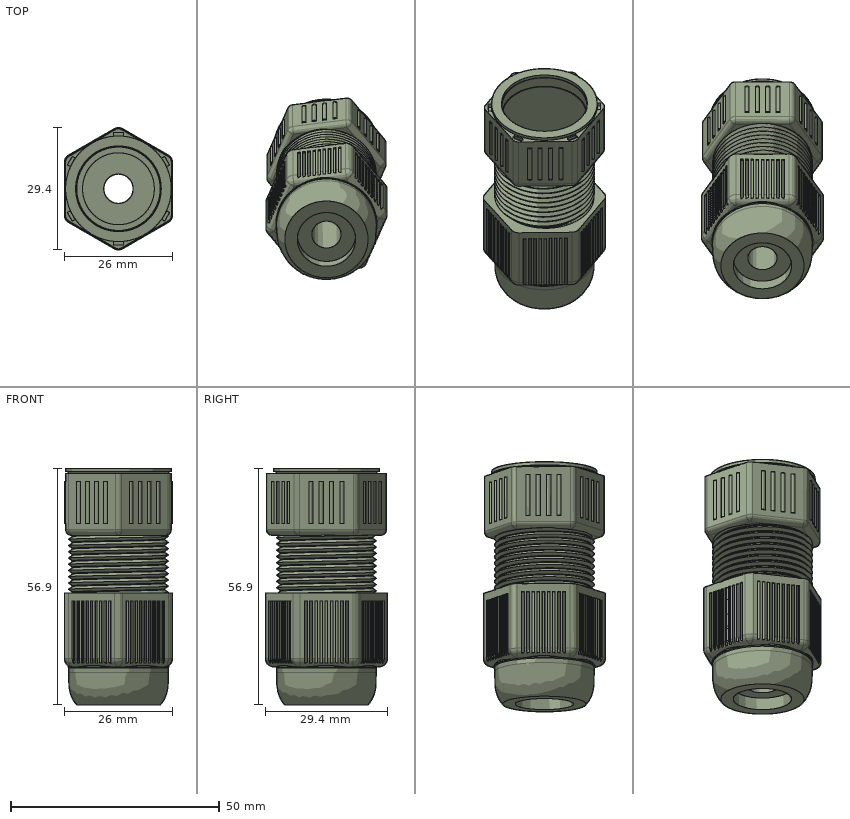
import cadquery as cq
import math


SIDES = 6
OVERLAP = 0.1

TOTAL_HEIGHT = 56.9
CAP_HEIGHT = 27.0
CAP_HEX_BOTTOM = 9.2
DOME_SHOULDER = 8.95
BODY_HEX_BOTTOM = 40.8
BODY_HEX_TOP = 55.7
GASKET_BOTTOM = 56.1

CAP_FLATS = 26.0
CAP_CORNER_RADIUS = 2.0
CAP_EDGE_RADIUS = 2.0
DOME_RADIUS = 12.0
DOME_FLARE = 0.15
DOME_END_RADIUS = 10.0
DOME_ROUND_TOP = 7.85
DOME_BULGE = (11.65, 3.0)
DOME_END_SLOPE = (1, 1)
CAP_FLOOR = 3.0
CAP_OPENING_RADIUS = 7.0
STEM_BOTTOM = 14.0

GROOVES_PER_SIDE = 9
GROOVE_PITCH = 1.25
GROOVE_WIDTH = 0.6
GROOVE_DEPTH = 0.3
GROOVE_TOP = CAP_HEIGHT - 2.0

BODY_FLATS = 25.4
BODY_CORNER_RADIUS = 1.5
BODY_EDGE_RADIUS = 1.4
THREAD_RADIUS = 12.0
THREAD_ROOT_RADIUS = 11.15
THREAD_PITCH = 1.5
THREAD_GAP = 0.06
THREAD_CREST_HEIGHT = 37.6
BORE_RADIUS = 10.03
BORE_BOTTOM = 39.0
MOUTH_RADIUS = 10.2
MOUTH_BOTTOM = 53.4
COLLAR_RADIUS = 12.0
COLLAR_TOP_RADIUS = 12.2

RIBS_PER_SIDE = 4
RIB_PITCH = 2.5
RIB_WIDTH = 1.0
RIB_LENGTH = 10.0
RIB_TOP = BODY_HEX_TOP - 2.0
RIB_HEIGHT = (CAP_FLATS - BODY_FLATS) / 2

POCKET_INNER = 12.7
POCKET_OUTER = 13.5
POCKET_WIDTH = 2.4
POCKET_DEPTH = 1.0

GROMMET_RADIUS = 8.64
CABLE_RADIUS = 3.5

GASKET_RADIUS = BODY_FLATS / 2
GASKET_BORE_RADIUS = 10.3


def cylinder(radius, bottom, top):
    return cq.Workplane("XY").workplane(offset=bottom).circle(radius).extrude(top - bottom)


def hexagon(flats, corner_radius, edge_radius, bottom, top):
    """Prism with sides facing +X and -X, rounded corners and a rounded lower edge."""
    across_corners = flats / math.cos(math.pi / SIDES)
    prism = cq.Workplane("XY").workplane(offset=bottom).polygon(SIDES, across_corners).extrude(top - bottom)
    prism = prism.rotate((0, 0, 0), (0, 0, 1), 180 / SIDES)
    return prism.edges("|Z").fillet(corner_radius).faces("<Z").edges().fillet(edge_radius)


def turned(shape, angle):
    return shape.rotate((0, 0, 0), (0, 0, 1), angle)


def row_offsets(count, pitch):
    """Places of a row centred on zero."""
    return [(i - (count - 1) / 2) * pitch for i in range(count)]


def dome():
    """Round lower end: straight wall that curves in to a flat end face."""
    flare_radius = DOME_RADIUS + DOME_FLARE
    inside_hex = CAP_HEX_BOTTOM + CAP_EDGE_RADIUS
    return (
        cq.Workplane("XZ")
        .lineTo(DOME_END_RADIUS, 0)
        .spline(
            [DOME_BULGE, (DOME_RADIUS, DOME_ROUND_TOP)],
            tangents=[DOME_END_SLOPE, (0, 1)],
            includeCurrent=True,
        )
        .lineTo(DOME_RADIUS, DOME_SHOULDER)
        .lineTo(flare_radius, CAP_HEX_BOTTOM)
        .lineTo(flare_radius, inside_hex)
        .lineTo(0, inside_hex)
        .close()
        .revolve(360, (0, 0, 0), (0, 1, 0))
    )


def grip_grooves():
    """Grooves sunk into every side, each one pointing at the axis."""
    face = CAP_FLATS / 2
    height = GROOVE_TOP - CAP_HEX_BOTTOM
    groove = (
        cq.Workplane("XY")
        .box(2 * GROOVE_DEPTH, GROOVE_WIDTH, height, centered=(True, True, False))
    )
    tools = []
    for side in range(SIDES):
        for offset in row_offsets(GROOVES_PER_SIDE, GROOVE_PITCH):
            tool = turned(groove, math.degrees(math.atan2(offset, face)))
            tool = tool.translate((face, offset, CAP_HEX_BOTTOM))
            tools.append(turned(tool, side * 360 / SIDES).val())
    return cq.Workplane(cq.Compound.makeCompound(tools))


def make_cap_nut():
    nut = hexagon(CAP_FLATS, CAP_CORNER_RADIUS, CAP_EDGE_RADIUS, CAP_HEX_BOTTOM, CAP_HEIGHT)
    nut = nut.union(dome()).cut(grip_grooves())
    nut = nut.cut(cylinder(THREAD_ROOT_RADIUS, STEM_BOTTOM, CAP_HEIGHT))
    nut = nut.cut(cylinder(GROMMET_RADIUS, CAP_FLOOR, STEM_BOTTOM))
    return nut.cut(cylinder(CAP_OPENING_RADIUS, 0, CAP_FLOOR))


def thread():
    """Right-hand ridge of V section between the cap nut and the body hexagon."""
    turns_below = math.ceil((THREAD_CREST_HEIGHT - CAP_HEIGHT) / THREAD_PITCH) + 1
    start = THREAD_CREST_HEIGHT - turns_below * THREAD_PITCH
    length = BODY_HEX_BOTTOM + 2 * THREAD_PITCH - start
    root = THREAD_ROOT_RADIUS - OVERLAP
    half_base = (THREAD_PITCH - THREAD_GAP) / 2
    path = cq.Workplane(cq.Wire.makeHelix(THREAD_PITCH, length, THREAD_ROOT_RADIUS))
    ridge = (
        cq.Workplane("XZ")
        .moveTo(root, -half_base)
        .lineTo(THREAD_RADIUS, 0)
        .lineTo(root, half_base)
        .close()
        .sweep(path, isFrenet=True)
        .translate((0, 0, start))
    )
    return ridge.intersect(cylinder(THREAD_RADIUS + OVERLAP, CAP_HEIGHT, BODY_HEX_BOTTOM + OVERLAP))


def add_grip_ribs(body):
    """Upright ribs with a rounded front, in a row on every side."""
    face = BODY_FLATS / 2
    rib = (
        cq.Workplane("XY")
        .moveTo(face - OVERLAP, -RIB_WIDTH / 2)
        .lineTo(face, -RIB_WIDTH / 2)
        .threePointArc((face + RIB_HEIGHT, 0), (face, RIB_WIDTH / 2))
        .lineTo(face - OVERLAP, RIB_WIDTH / 2)
        .close()
        .extrude(RIB_LENGTH)
    )
    for side in range(SIDES):
        for offset in row_offsets(RIBS_PER_SIDE, RIB_PITCH):
            placed = rib.translate((0, offset, RIB_TOP - RIB_LENGTH))
            body = body.union(turned(placed, side * 360 / SIDES))
    return body


def cut_corner_pockets(body):
    """Small rectangular pocket in the top face at every corner."""
    pocket = cq.Workplane("XY").box(
        POCKET_OUTER - POCKET_INNER, POCKET_WIDTH, POCKET_DEPTH, centered=(False, True, False)
    )
    pocket = pocket.translate((POCKET_INNER, 0, BODY_HEX_TOP - POCKET_DEPTH))
    for corner in range(SIDES):
        body = body.cut(turned(pocket, (corner + 0.5) * 360 / SIDES))
    return body


def collar():
    """Collar that widens upward from the hexagon to the gasket."""
    foot = cq.Workplane("XY").workplane(offset=BODY_HEX_TOP).circle(COLLAR_RADIUS)
    return foot.workplane(offset=GASKET_BOTTOM - BODY_HEX_TOP).circle(COLLAR_TOP_RADIUS).loft()


def make_body():
    body = hexagon(BODY_FLATS, BODY_CORNER_RADIUS, BODY_EDGE_RADIUS, BODY_HEX_BOTTOM, BODY_HEX_TOP)
    body = cut_corner_pockets(add_grip_ribs(body))
    stem = cylinder(THREAD_ROOT_RADIUS, STEM_BOTTOM, BODY_HEX_TOP)
    body = body.union(stem.union(thread())).union(collar())
    body = body.cut(cylinder(GROMMET_RADIUS, STEM_BOTTOM, BORE_BOTTOM))
    body = body.cut(cylinder(BORE_RADIUS, BORE_BOTTOM, MOUTH_BOTTOM))
    return body.cut(cylinder(MOUTH_RADIUS, MOUTH_BOTTOM, GASKET_BOTTOM))


def make_grommet():
    return cylinder(GROMMET_RADIUS, CAP_FLOOR, CAP_HEIGHT).cut(cylinder(CABLE_RADIUS, CAP_FLOOR, CAP_HEIGHT))


def make_gasket():
    ring = cylinder(GASKET_RADIUS, GASKET_BOTTOM, TOTAL_HEIGHT)
    return ring.cut(cylinder(GASKET_BORE_RADIUS, GASKET_BOTTOM, TOTAL_HEIGHT))


cap_nut = make_cap_nut()
body = make_body()
grommet = make_grommet()
gasket = make_gasket()

result = cq.Compound.makeCompound(
    [
        cap_nut.solids().val(),
        body.solids().val(),
        grommet.solids().val(),
        gasket.solids().val(),
    ]
)